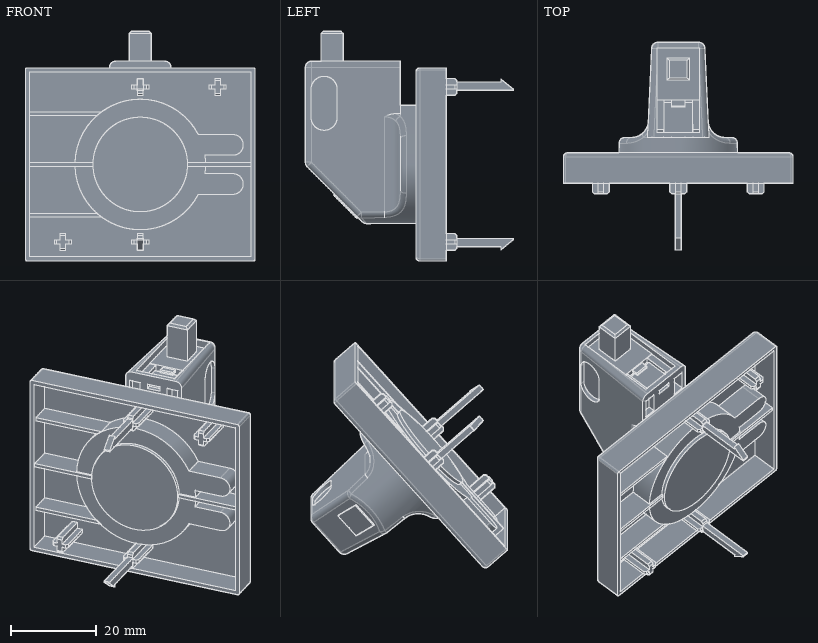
import cadquery as cq
import math


PLATE_WIDTH = 53.5
PLATE_HEIGHT = 45.0
PLATE_DEPTH = 7.1
WALL = 1.0
BACK_EDGE_RADIUS = 0.95
CORNER_RADIUS = 0.5
FLOOR_Y = PLATE_DEPTH - WALL

BOSS_RADIUS = 15.2
BOSS_FACE_Y = 0.85
ARM_OFFSET_Z = 4.55
ARM_RADIUS = 2.4
ARM_END_X = 23.95

RIB_THICKNESS = 0.85
RIB_FACE_Y = 0.45
OUTER_RIB_FACE_Y = 1.05
OUTER_RIB_Z = 11.8

PEG_OFFSET = 18.05
PEG_SPAN = 3.95
PEG_THICK_X = 0.85
PEG_THICK_Z = 1.3
PEG_TIP_Y = -2.45
PEG_CHAMFER = 0.5
BLADE_WIDTH = 1.45
BLADE_TIP_Y = -15.55
BLADE_INNER_Z = 17.25
BLADE_OUTER_Z = 19.2
BARB_Y = -12.7
BARB_Z = 19.9
BLADE_TIP_THICKNESS = 0.3

SPINDLE_RADIUS = 11.0
SPINDLE_FACE_Y = 0.0
FLANGE_RADIUS = 13.8
FLANGE_TOP_Y = 10.7
GRIP_BACK_Y = 32.85
GRIP_TOP_Z = 24.1
GRIP_HALF_FRONT = 7.15
GRIP_HALF_BACK = 6.15
GRIP_BEVEL_Z = -0.1
GRIP_EDGE_RADIUS = 1.5
RIM_RADIUS = 1.4
ROOT_RADIUS = 3.85

RECESS_HALF = 4.9
RECESS_FRONT_Y = 11.9
RECESS_BACK_Y = 31.45
RECESS_FLOOR_Z = 22.25
LEDGE_BACK_Y = 19.35
LEDGE_Z = 22.15
CHANNEL_HALF = 3.3
CHANNEL_FLOOR_Z = 21.0
LEDGE_BEVEL_LENGTH = 0.6
LEDGE_BEVEL_DROP = 0.2
GROOVE_WIDTH = 0.6
GROOVE_DEPTH = 0.45
TAB_HALF = 1.6
TAB_TOP_Z = 21.95
TAB_FRONT_Y = 17.75
TAB_THICKNESS = 0.6
TAB_CHAMFER = 0.25

SLOT_BOTTOM_Z = 20.6
SLOT_TOP_Z = 21.7
WINDOW_INNER_X = 3.4
WINDOW_OUTER_X = 6.1
WINDOW_TOP_Z = 21.7
WINDOW_BOTTOM_Z = 16.05
LEFT_WINDOW_DEPTH = 1.55
RIGHT_WINDOW_DEPTH = 2.95

POCKET_WIDTH = 6.1
POCKET_LENGTH = 12.55
POCKET_CENTER_Y = 28.45
POCKET_CENTER_Z = 14.25
POCKET_FLOOR_X = 5.3

POST_SIDE = 5.2
POST_CENTER_Y = 26.6
POST_TOP_Z = PLATE_WIDTH - PLATE_HEIGHT / 2
POST_CHAMFER = 0.55

PAD_START_Y = 26.05
PAD_END_Y = 20.6
PAD_HALF = 3.2
PAD_HEIGHT = 0.3


TRIM_ALLOWANCE = 0.55
PICK_MARGIN = 0.05


def block(x0, x1, y0, y1, z0, z1):
    """Box given by its limits along X, Y and Z."""
    return cq.Workplane("XY").box(x1 - x0, y1 - y0, z1 - z0, centered=False).translate((x0, y0, z0))


def disc(radius, y0, y1):
    """Cylinder about the Y axis between two Y positions, with its seam at +Z."""
    cylinder = cq.Workplane("XZ", origin=(0, y0, 0)).circle(radius).extrude(y0 - y1)
    return cylinder.rotate((0, 0, 0), (0, 1, 0), -90)


def side_prism(points, half_width):
    """Outline of (y, z) points, extruded to both sides of X = 0."""
    return cq.Workplane("YZ").polyline(points).close().extrude(half_width, both=True)


def plate_shell():
    half_x = PLATE_WIDTH / 2
    half_z = PLATE_HEIGHT / 2
    shell = block(-half_x, half_x, 0, PLATE_DEPTH, -half_z, half_z)
    shell = shell.edges("|Y").fillet(CORNER_RADIUS)
    shell = shell.faces(">Y").edges().fillet(BACK_EDGE_RADIUS)
    inner_x = half_x - WALL
    inner_z = half_z - WALL
    return shell.cut(block(-inner_x, inner_x, 0, FLOOR_Y, -inner_z, inner_z))


def boss():
    body = disc(BOSS_RADIUS, BOSS_FACE_Y, FLOOR_Y)
    arm_center_x = ARM_END_X - ARM_RADIUS
    for z in (-ARM_OFFSET_Z, ARM_OFFSET_Z):
        arm = block(0, arm_center_x, BOSS_FACE_Y, FLOOR_Y, z - ARM_RADIUS, z + ARM_RADIUS)
        arm_end = disc(ARM_RADIUS, BOSS_FACE_Y, FLOOR_Y).translate((arm_center_x, 0, z))
        body = body.union(arm).union(arm_end)
    return body


def ribs():
    wall_x = PLATE_WIDTH / 2 - WALL
    half = RIB_THICKNESS / 2
    body = block(-wall_x, wall_x, RIB_FACE_Y, FLOOR_Y, -half, half)
    rib_end_x = -math.sqrt(BOSS_RADIUS**2 - OUTER_RIB_Z**2) + RIB_THICKNESS
    for z in (-OUTER_RIB_Z, OUTER_RIB_Z):
        body = body.union(block(-wall_x, rib_end_x, OUTER_RIB_FACE_Y, FLOOR_Y, z - half, z + half))
    return body


def peg(x, z):
    half = PEG_SPAN / 2
    half_x_arm = PEG_THICK_X / 2
    half_z_arm = PEG_THICK_Z / 2
    along_x = block(-half, half, PEG_TIP_Y, FLOOR_Y, -half_x_arm, half_x_arm)
    along_x = along_x.faces("<Y").edges("|Z").chamfer(PEG_CHAMFER)
    along_z = block(-half_z_arm, half_z_arm, PEG_TIP_Y, FLOOR_Y, -half, half)
    along_z = along_z.faces("<Y").edges("|X").chamfer(PEG_CHAMFER)
    return along_x.union(along_z).translate((x, 0, z))


def snap_blade(side):
    """Blade with an outward barb; side is +1 above the dial and -1 below it."""
    outline = [
        (PEG_TIP_Y, BLADE_INNER_Z),
        (BLADE_TIP_Y, BLADE_INNER_Z),
        (BLADE_TIP_Y, BLADE_INNER_Z + BLADE_TIP_THICKNESS),
        (BARB_Y, BARB_Z),
        (BARB_Y, BLADE_OUTER_Z),
        (PEG_TIP_Y, BLADE_OUTER_Z),
    ]
    return side_prism([(y, side * z) for y, z in outline], BLADE_WIDTH / 2)


def make_plate():
    plate = plate_shell().union(boss()).union(ribs())
    plate = plate.cut(disc(SPINDLE_RADIUS, 0, PLATE_DEPTH))
    for x, side in ((0, 1), (PEG_OFFSET, 1), (-PEG_OFFSET, -1), (0, -1)):
        plate = plate.union(peg(x, side * PEG_OFFSET))
    for side in (1, -1):
        plate = plate.union(snap_blade(side))
    return plate


def bevel_z(y):
    """Height of the 45 degree bevel at a given Y."""
    return GRIP_BEVEL_Z - (GRIP_BACK_Y - y)


def grip():
    """Tapered grip: bevelled in side outline and rounded below by the flange cylinder."""
    bottom_z = -FLANGE_RADIUS - TRIM_ALLOWANCE
    bevel_end_y = GRIP_BACK_Y - (GRIP_BEVEL_Z - bottom_z)
    outline = [
        (FLANGE_TOP_Y, GRIP_TOP_Z),
        (GRIP_BACK_Y, GRIP_TOP_Z),
        (GRIP_BACK_Y, GRIP_BEVEL_Z),
        (bevel_end_y, bottom_z),
        (FLANGE_TOP_Y, bottom_z),
    ]
    taper = (
        cq.Workplane("XY", origin=(0, 0, bottom_z))
        .polyline([
            (-GRIP_HALF_FRONT, FLANGE_TOP_Y),
            (GRIP_HALF_FRONT, FLANGE_TOP_Y),
            (GRIP_HALF_BACK, GRIP_BACK_Y),
            (-GRIP_HALF_BACK, GRIP_BACK_Y),
        ])
        .close()
        .extrude(GRIP_TOP_Z - bottom_z)
    )
    envelope = disc(FLANGE_RADIUS, FLANGE_TOP_Y, GRIP_BACK_Y).union(
        block(-FLANGE_RADIUS, FLANGE_RADIUS, FLANGE_TOP_Y, GRIP_BACK_Y, 0, GRIP_TOP_Z)
    )
    body = side_prism(outline, GRIP_HALF_FRONT).intersect(taper).intersect(envelope)
    behind_flange = cq.selectors.BoxSelector(
        (-GRIP_HALF_FRONT, FLANGE_TOP_Y + PICK_MARGIN, bottom_z),
        (GRIP_HALF_FRONT, GRIP_BACK_Y + PICK_MARGIN, GRIP_TOP_Z + PICK_MARGIN),
    )
    return body.edges(behind_flange).fillet(GRIP_EDGE_RADIUS)


def root_flare():
    """Hollow flare on both sides of the grip, trimmed to the flange outline."""
    draft = math.atan((GRIP_HALF_FRONT - GRIP_HALF_BACK) / (GRIP_BACK_Y - FLANGE_TOP_Y))
    center_y = FLANGE_TOP_Y + ROOT_RADIUS
    center_x = GRIP_HALF_FRONT - ROOT_RADIUS * math.tan(draft) + ROOT_RADIUS / math.cos(draft)
    top_x = center_x - ROOT_RADIUS * math.cos(draft)
    top_y = center_y - ROOT_RADIUS * math.sin(draft)
    mid_x = center_x - ROOT_RADIUS * math.sqrt(0.5)
    mid_y = center_y - ROOT_RADIUS * math.sqrt(0.5)
    flare = (
        cq.Workplane("XY", origin=(0, 0, -FLANGE_RADIUS))
        .moveTo(-center_x, FLANGE_TOP_Y)
        .threePointArc((-mid_x, mid_y), (-top_x, top_y))
        .lineTo(top_x, top_y)
        .threePointArc((mid_x, mid_y), (center_x, FLANGE_TOP_Y))
        .close()
        .extrude(2 * FLANGE_RADIUS)
    )
    return flare.intersect(disc(FLANGE_RADIUS, FLANGE_TOP_Y, top_y))


def flange():
    """Flange with the hollow flare, its whole rim rounded where the flare meets the side."""
    body = disc(FLANGE_RADIUS, PLATE_DEPTH, FLANGE_TOP_Y).union(root_flare())
    low = FLANGE_TOP_Y - PICK_MARGIN
    high = FLANGE_TOP_Y + PICK_MARGIN
    flare_reach = GRIP_HALF_FRONT + ROOT_RADIUS
    left_rim = cq.selectors.BoxSelector(
        (-FLANGE_RADIUS, low, -PICK_MARGIN), (-flare_reach, high, PICK_MARGIN)
    )
    right_rim = cq.selectors.BoxSelector(
        (flare_reach, low, -PICK_MARGIN), (FLANGE_RADIUS, high, PICK_MARGIN)
    )
    side_rims = body.edges("%CIRCLE").edges(left_rim + right_rim)
    return side_rims.fillet(RIM_RADIUS)


def top_recess():
    """Shallow recess whose front part steps down to two ledges and a channel between them."""
    main = block(-RECESS_HALF, RECESS_HALF, RECESS_FRONT_Y, RECESS_BACK_Y, RECESS_FLOOR_Z, GRIP_TOP_Z)
    ledges = block(-RECESS_HALF, RECESS_HALF, RECESS_FRONT_Y, LEDGE_BACK_Y, LEDGE_Z, RECESS_FLOOR_Z)
    channel = block(-CHANNEL_HALF, CHANNEL_HALF, RECESS_FRONT_Y, LEDGE_BACK_Y, CHANNEL_FLOOR_Z, LEDGE_Z)
    ledge_bevel = side_prism(
        [
            (RECESS_FRONT_Y, LEDGE_Z),
            (RECESS_FRONT_Y + LEDGE_BEVEL_LENGTH, LEDGE_Z),
            (RECESS_FRONT_Y, LEDGE_Z - LEDGE_BEVEL_DROP),
        ],
        RECESS_HALF,
    )
    groove = side_prism(
        [
            (LEDGE_BACK_Y, CHANNEL_FLOOR_Z),
            (LEDGE_BACK_Y - GROOVE_WIDTH, CHANNEL_FLOOR_Z),
            (LEDGE_BACK_Y, CHANNEL_FLOOR_Z - GROOVE_DEPTH),
        ],
        CHANNEL_HALF,
    )
    return main.union(ledges).union(channel).union(ledge_bevel).union(groove)


def recess_tab():
    tab_bottom = TAB_TOP_Z - TAB_THICKNESS
    tab = block(-TAB_HALF, TAB_HALF, TAB_FRONT_Y, LEDGE_BACK_Y, tab_bottom, TAB_TOP_Z)
    return tab.faces("<Y").edges(">Z").chamfer(TAB_CHAMFER)


def front_openings():
    """Slot into the channel, and a blind window on each side of it."""
    slot = block(-TAB_HALF, TAB_HALF, FLANGE_TOP_Y, RECESS_FRONT_Y, SLOT_BOTTOM_Z, SLOT_TOP_Z)
    left = block(
        -WINDOW_OUTER_X, -WINDOW_INNER_X,
        FLANGE_TOP_Y, FLANGE_TOP_Y + LEFT_WINDOW_DEPTH,
        WINDOW_BOTTOM_Z, WINDOW_TOP_Z,
    )
    right = block(
        WINDOW_INNER_X, WINDOW_OUTER_X,
        FLANGE_TOP_Y, FLANGE_TOP_Y + RIGHT_WINDOW_DEPTH,
        WINDOW_BOTTOM_Z, WINDOW_TOP_Z,
    )
    return slot.union(left).union(right)


def finger_pockets():
    pocket = (
        cq.Workplane("YZ", origin=(POCKET_FLOOR_X, POCKET_CENTER_Y, POCKET_CENTER_Z))
        .slot2D(POCKET_LENGTH, POCKET_WIDTH, 90)
        .extrude(GRIP_HALF_FRONT - POCKET_FLOOR_X)
    )
    return pocket.union(pocket.mirror("YZ"))


def post():
    half = POST_SIDE / 2
    body = block(
        -half, half, POST_CENTER_Y - half, POST_CENTER_Y + half, RECESS_FLOOR_Z, POST_TOP_Z
    )
    return body.faces(">Z").edges().chamfer(POST_CHAMFER)


def bevel_pad():
    lift = PAD_HEIGHT * math.sqrt(0.5)
    start_z = bevel_z(PAD_START_Y)
    end_z = bevel_z(PAD_END_Y)
    return side_prism(
        [
            (PAD_START_Y, start_z),
            (PAD_START_Y + lift, start_z - lift),
            (PAD_END_Y + lift, end_z - lift),
            (PAD_END_Y, end_z),
        ],
        PAD_HALF,
    )


def make_handle():
    handle = flange().union(grip())
    handle = handle.union(disc(SPINDLE_RADIUS, SPINDLE_FACE_Y, PLATE_DEPTH))
    handle = handle.cut(top_recess()).cut(front_openings()).cut(finger_pockets())
    return handle.union(recess_tab()).union(post()).union(bevel_pad())


plate = make_plate()
handle = make_handle()

result = cq.Compound.makeCompound([plate.solids().val(), handle.solids().val()])